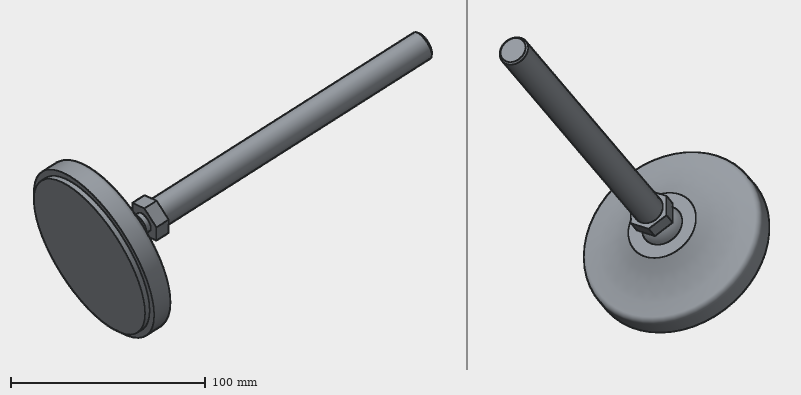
import cadquery as cq
import math


PAD_DIAMETER = 92.5
PAD_HEIGHT = 3.0

BASE_DIAMETER = 100.0
BASE_TOP_DIAMETER = 38.0
BASE_TOP_Y = 26.6
RIM_STRAIGHT_TOP_Y = 12.2
RIM_ROUND_RADIUS = 3.2
RIM_ROUND_SWEEP = 78.0
FLARE_SAG = 1.6

BALL_DIAMETER = 24.0
NECK_DIAMETER = 11.0
NECK_BOTTOM_Y = 33.1

HEX_ACROSS_FLATS = 20.0
HEX_HEIGHT = 8.0
ROD_DIAMETER = 16.0
ROD_LENGTH = 175.0
ROD_CHAMFER = 1.0
TOTAL_LENGTH = 219.0

ROD_START_Y = TOTAL_LENGTH - ROD_LENGTH
HEX_START_Y = ROD_START_Y - HEX_HEIGHT
BALL_CENTER_Y = NECK_BOTTOM_Y - math.sqrt((BALL_DIAMETER / 2) ** 2 - (NECK_DIAMETER / 2) ** 2)


def plane_at(y):
    """Work plane across the axis at height y, with its normal along +Y and its local x along +X."""
    return cq.Workplane(cq.Plane(origin=(0, y, 0), xDir=(1, 0, 0), normal=(0, 1, 0)))


def cylinder(diameter, start_y, end_y):
    return plane_at(start_y).circle(diameter / 2).extrude(end_y - start_y)


def rim_round_point(angle):
    """Point (radius, y) on the rim round, with the angle in degrees measured from the rim wall."""
    center_radius = BASE_DIAMETER / 2 - RIM_ROUND_RADIUS
    radius = center_radius + RIM_ROUND_RADIUS * math.cos(math.radians(angle))
    y = RIM_STRAIGHT_TOP_Y + RIM_ROUND_RADIUS * math.sin(math.radians(angle))
    return radius, y


def flare_midpoint(start, end):
    """Middle of the concave flare: the chord's midpoint moved inward, square to the chord."""
    run = start[0] - end[0]
    rise = end[1] - start[1]
    chord = math.hypot(run, rise)
    radius = (start[0] + end[0]) / 2 - FLARE_SAG * rise / chord
    y = (start[1] + end[1]) / 2 - FLARE_SAG * run / chord
    return radius, y


def make_base():
    rim_radius = BASE_DIAMETER / 2
    flare_start = rim_round_point(RIM_ROUND_SWEEP)
    flare_end = (BASE_TOP_DIAMETER / 2, BASE_TOP_Y)
    profile = (
        cq.Workplane("XY")
        .moveTo(0, PAD_HEIGHT)
        .lineTo(rim_radius, PAD_HEIGHT)
        .lineTo(rim_radius, RIM_STRAIGHT_TOP_Y)
        .threePointArc(rim_round_point(RIM_ROUND_SWEEP / 2), flare_start)
        .threePointArc(flare_midpoint(flare_start, flare_end), flare_end)
        .lineTo(0, BASE_TOP_Y)
        .close()
    )
    return profile.revolve(360, (0, 0, 0), (0, 1, 0))


def make_pad():
    return cylinder(PAD_DIAMETER, 0, PAD_HEIGHT)


def make_swivel():
    """Ball seated in the base, with the neck that joins it to the collar."""
    ball_radius = BALL_DIAMETER / 2
    half_disc = (
        cq.Workplane("XY")
        .moveTo(0, BALL_CENTER_Y - ball_radius)
        .threePointArc((ball_radius, BALL_CENTER_Y), (0, BALL_CENTER_Y + ball_radius))
        .close()
    )
    ball = half_disc.revolve(360, (0, 0, 0), (0, 1, 0))
    neck = cylinder(NECK_DIAMETER, BALL_CENTER_Y, HEX_START_Y)
    return ball.union(neck)


def make_collar():
    """Hexagonal collar with two flats facing -X and +X."""
    across_corners = HEX_ACROSS_FLATS / math.cos(math.pi / 6)
    hexagon = plane_at(HEX_START_Y).transformed(rotate=(0, 0, 90)).polygon(6, across_corners)
    return hexagon.extrude(HEX_HEIGHT)


def make_rod():
    return cylinder(ROD_DIAMETER, ROD_START_Y, TOTAL_LENGTH).faces(">Y").chamfer(ROD_CHAMFER)


result = make_base().union(make_pad()).union(make_swivel()).union(make_collar()).union(make_rod())